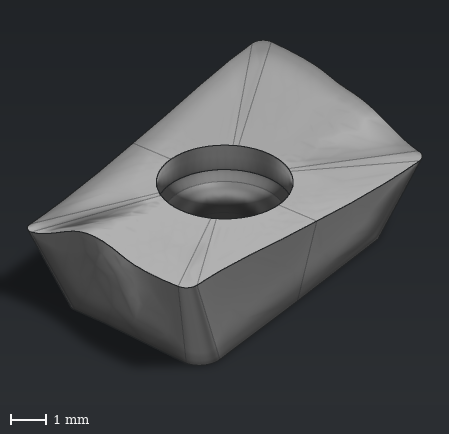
import cadquery as cq
import math

half_width = 3.319
half_length = 5.88
peak_height = 3.6
mid_height = 2.98
base_mid_half_width = 2.62

low_side_top = (-half_width, -4.72, 2.63)
low_end_top = (-3.0, -5.08, 2.67)
high_end_top = (2.94, -half_length, peak_height)
high_side_top = (half_width, -5.49, peak_height)
low_side_base = (-2.4, -3.97, 0)
low_end_base = (-2.05, -4.25, 0)
high_end_base = (2.16, -4.51, 0)
high_side_base = (2.78, -3.76, 0)
corner_bulge = 0.2

bore_radius = 2.8 / 2
recess_radius = 3.88 / 2
seat_radius = 1.75
recess_floor = 2.16
seat_top = 1.88
seat_bottom = 1.06


def curve(points):
    return cq.Edge.makeSpline([cq.Vector(*p) for p in points])


def line(start, end):
    return cq.Edge.makeLine(cq.Vector(*start), cq.Vector(*end))


def corner_round(start, end):
    """Arc bulging outward, to the right when travelling counterclockwise."""
    a = cq.Vector(*start)
    b = cq.Vector(*end)
    chord = b - a
    outward = cq.Vector(chord.y, -chord.x, 0)
    return cq.Edge.makeThreePointArc(a, (a + b) * 0.5 + outward * corner_bulge, b)


def half_outline_top():
    """Rim of the rake face, from the low side round to the high side."""
    low_side = [
        (-half_width, 0, mid_height),
        (-half_width, -1.27, 2.83),
        (-half_width, -2.91, 2.69),
        low_side_top,
    ]
    end = [
        low_end_top,
        (-2.25, -5.1, 2.94),
        (-1.21, -5.15, 3.43),
        (-0.59, -5.23, 3.55),
        (0.08, -5.37, 3.56),
        (1.01, -5.66, 3.56),
        (2.02, -5.834, 3.57),
        high_end_top,
    ]
    high_side = [
        high_side_top,
        (half_width, -4.37, 3.54),
        (half_width, -2.21, 3.27),
        (half_width, 0, mid_height),
    ]
    return [
        curve(low_side),
        corner_round(low_side_top, low_end_top),
        curve(end),
        corner_round(high_end_top, high_side_top),
        curve(high_side),
    ]


def half_outline_base():
    base_end = [low_end_base, (-0.22, -4.32, 0), (1.06, -4.43, 0), high_end_base]
    return [
        line((-base_mid_half_width, 0, 0), low_side_base),
        corner_round(low_side_base, low_end_base),
        curve(base_end),
        corner_round(high_end_base, high_side_base),
        line(high_side_base, (base_mid_half_width, 0, 0)),
    ]


def recess_arc(rim_edge):
    """Part of the recess circle facing a rim edge; the rake face is ruled between the two."""

    def on_circle(angle):
        return cq.Vector(recess_radius * math.cos(angle), recess_radius * math.sin(angle), mid_height)

    start = rim_edge.startPoint()
    end = rim_edge.endPoint()
    full_turn = 2 * math.pi
    start_angle = math.atan2(start.y, start.x) % full_turn
    end_angle = math.atan2(end.y, end.x) % full_turn or full_turn
    middle_angle = (start_angle + end_angle) / 2
    return cq.Edge.makeThreePointArc(on_circle(start_angle), on_circle(middle_angle), on_circle(end_angle))


def turned(shapes):
    """Copies for the other half, half a turn about Z."""
    return [s.rotate(cq.Vector(0, 0, 0), cq.Vector(0, 0, 1), 180) for s in shapes]


def insert_body():
    top = half_outline_top()
    base = half_outline_base()
    arcs = [recess_arc(t) for t in top]
    rake_faces = [cq.Face.makeRuledSurface(t, a) for t, a in zip(top, arcs)]
    flanks = [cq.Face.makeRuledSurface(t, b) for t, b in zip(top, base)]
    half_faces = rake_faces + flanks
    base_face = cq.Face.makeFromWires(cq.Wire.assembleEdges(base + turned(base)))
    recess_cover = cq.Face.makeFromWires(cq.Wire.assembleEdges(arcs + turned(arcs)))
    skin = cq.Shell.makeShell(half_faces + turned(half_faces) + [base_face, recess_cover])
    return cq.Workplane(cq.Solid.makeSolid(skin).fix())


def screw_hole():
    """Bore, convex seat tangent to the bore, short cone and upper recess."""
    seat_width = seat_radius - bore_radius
    seat_depth = seat_top - seat_bottom
    profile = (
        cq.Workplane("XZ")
        .moveTo(0, 0)
        .lineTo(bore_radius, 0)
        .lineTo(bore_radius, seat_bottom)
        .tangentArcPoint((seat_width, seat_depth))
        .lineTo(recess_radius, recess_floor)
        .lineTo(recess_radius, peak_height)
        .lineTo(0, peak_height)
        .close()
    )
    return profile.revolve(360, (0, 0, 0), (0, 1, 0))


result = insert_body().cut(screw_hole())